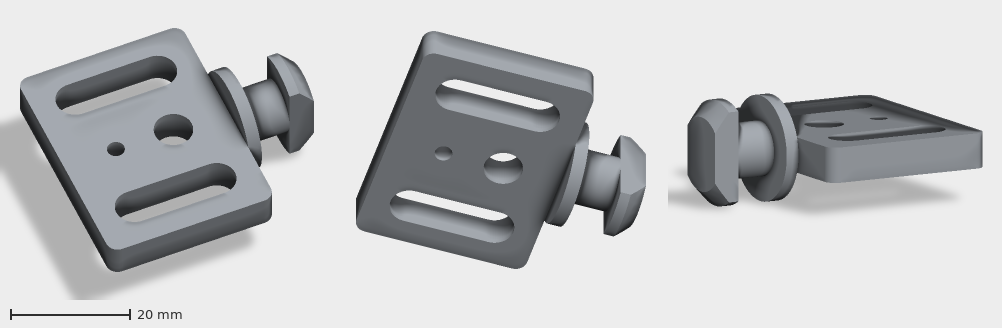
import cadquery as cq

plate_width = 40.0
plate_length = 30.0
plate_thickness = 6.0
corner_radius = 2.0

slot_width = 6.63
slot_length = 21.63
slot_spacing = 25.0
main_hole_diameter = 6.63
main_hole_y = 5.0
small_hole_diameter = 3.0
small_hole_y = -5.5

flange_diameter = 18.0
flange_thickness = 2.25
neck_diameter = 9.4
neck_length = 6.9
head_width = 9.4
head_rim_length = 1.8
head_taper_length = 2.65
head_taper_depth = 2.65

flange_start = plate_length / 2
neck_start = flange_start + flange_thickness
head_start = neck_start + neck_length
head_length = head_rim_length + head_taper_length


def make_plate():
    plate = cq.Workplane("XY").box(plate_width, plate_length, plate_thickness)
    plate = plate.edges("|Z").fillet(corner_radius)
    top = plate.faces(">Z").workplane(origin=(0, 0, 0))
    plate = top.pushPoints([(-slot_spacing / 2, 0), (slot_spacing / 2, 0)]).slot2D(
        slot_length, slot_width, 90
    ).cutThruAll()
    for y, diameter in ((main_hole_y, main_hole_diameter), (small_hole_y, small_hole_diameter)):
        plate = plate.faces(">Z").workplane(origin=(0, y, 0)).hole(diameter)
    return plate


def stud_cylinder(start, diameter, length):
    return cq.Workplane("XZ", origin=(0, start, 0)).circle(diameter / 2).extrude(-length)


def make_head():
    disc = stud_cylinder(head_start, flange_diameter, head_length)
    disc = disc.faces(">Y").chamfer(head_taper_length, head_taper_depth)
    flats = cq.Workplane("XY").box(head_width, head_length, flange_diameter)
    return disc.intersect(flats.translate((0, head_start + head_length / 2, 0)))


flange = stud_cylinder(flange_start, flange_diameter, flange_thickness)
neck = stud_cylinder(neck_start, neck_diameter, neck_length)
result = make_plate().union(flange).union(neck).union(make_head())